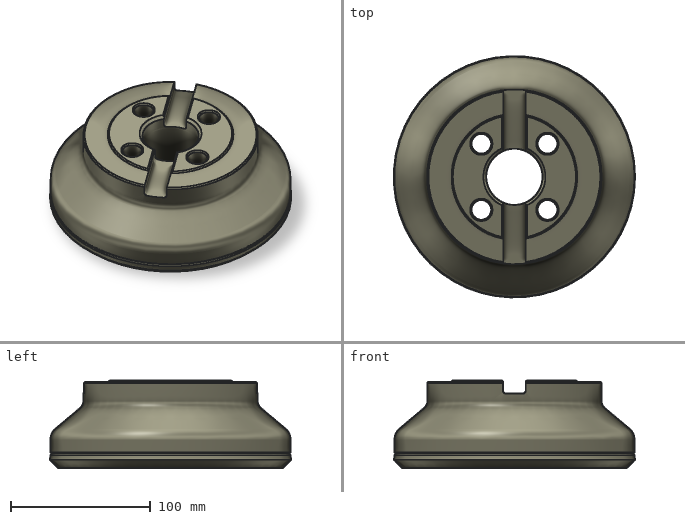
import cadquery as cq
import math

plate_radius = 86.4
plate_height = 10.9
plate_bevel_start = 0.5
plate_bevel_end = 6.2
plate_edge_break = 1.0
plate_land_end = 7.3
plate_land_radius = 86.2
plate_rim_end = 9.0
plate_rim_radius = 86.0
plate_flank_start = 9.5
plate_flank_radius = 85.9
groove_depth_radius = 84.7

hub_radius = 172.0 / 2
hub_flank_height = 0.5
cone_angle = 50.0
shoulder_fillet = 9.7
shoulder_start = 20.7
neck_radius = 125.0 / 2
neck_fillet = 6.2
neck_top = 62.0
neck_chamfer = 1.0

boss_radius = 90.0 / 2
boss_height = 1.0
boss_chamfer_width = 1.0
total_height = neck_top + boss_height

bore_radius = 40.1 / 2
bore_top_radius = 40.3 / 2
bore_step_top = 53.0
bore_step_height = 1.0
bore_chamfer = 2.0

bolt_radius = 14.0 / 2
bolt_chamfer = 1.0
bolt_circle_radius = 66.9 / 2
bolt_count = 4

slot_width = 16.0
slot_floor = 53.5
slot_fillet = 2.0


def on_bolt_circle(cutter):
    """Copies of one cutter on the bolt circle, starting half a pitch from the X axis."""
    pitch = 360.0 / bolt_count
    return cq.Workplane("XY").polarArray(
        bolt_circle_radius, pitch / 2, 360, bolt_count, rotate=False
    ).eachpoint(lambda place: cutter.moved(place))


def turn(profile):
    """Revolve a closed radius-height profile about Z."""
    return profile.close().revolve(360, (0, 0, 0), (0, 1, 0))


def through_holes():
    """Bolt hole cylinders, long enough to pass through both bodies."""
    return on_bolt_circle(cq.Solid.makeCylinder(bolt_radius, total_height))


def hole_mouths():
    """Cones that chamfer the bolt holes at the top of the boss."""
    mouth = cq.Solid.makeCone(
        bolt_radius, bolt_radius + bolt_chamfer, bolt_chamfer, cq.Vector(0, 0, total_height - bolt_chamfer)
    )
    return on_bolt_circle(mouth)


def bore_cutter():
    """Centre bore: chamfered mouth, then a small taper down to the lower diameter."""
    return turn(
        cq.Workplane("XZ")
        .moveTo(0, 0)
        .lineTo(bore_radius, 0)
        .lineTo(bore_radius, bore_step_top - bore_step_height)
        .lineTo(bore_top_radius, bore_step_top)
        .lineTo(bore_top_radius, total_height - bore_chamfer)
        .lineTo(bore_top_radius + bore_chamfer, total_height)
        .lineTo(0, total_height)
    )


def slot_cutter():
    """Slot along Y with rounded floor corners, flaring through the boss."""
    slot = (
        cq.Workplane("XY")
        .workplane(offset=slot_floor)
        .rect(slot_width, 2 * plate_radius)
        .extrude(total_height - slot_floor)
        .edges("|Y and <Z")
        .fillet(slot_fillet)
    )
    half_width = slot_width / 2
    flare = (
        cq.Workplane("XZ", origin=(0, plate_radius, 0))
        .moveTo(-half_width, neck_top)
        .lineTo(half_width, neck_top)
        .lineTo(half_width + boss_chamfer_width, total_height)
        .lineTo(-half_width - boss_chamfer_width, total_height)
        .close()
        .extrude(2 * plate_radius)
    )
    return slot.union(flare)


def hub_blank():
    """Solid of revolution: rim, shoulder, cone, neck and boss."""
    slope = math.radians(cone_angle)

    def fillet_offset(radius, angle):
        """Inward and upward travel along a fillet that starts vertical."""
        return radius * (1 - math.cos(angle)), radius * math.sin(angle)

    shoulder_in, shoulder_up = fillet_offset(shoulder_fillet, slope)
    shoulder_mid_in, shoulder_mid_up = fillet_offset(shoulder_fillet, slope / 2)
    neck_out, neck_down = fillet_offset(neck_fillet, slope)
    neck_mid_out, neck_mid_down = fillet_offset(neck_fillet, slope / 2)

    cone_bottom_radius = hub_radius - shoulder_in
    cone_bottom = shoulder_start + shoulder_up
    cone_top_radius = neck_radius + neck_out
    cone_top = cone_bottom + (cone_bottom_radius - cone_top_radius) / math.tan(slope)
    neck_bottom = cone_top + neck_down

    return turn(
        cq.Workplane("XZ")
        .moveTo(0, plate_height)
        .lineTo(groove_depth_radius, plate_height)
        .lineTo(hub_radius, plate_height + hub_flank_height)
        .lineTo(hub_radius, shoulder_start)
        .threePointArc(
            (hub_radius - shoulder_mid_in, shoulder_start + shoulder_mid_up), (cone_bottom_radius, cone_bottom)
        )
        .lineTo(cone_top_radius, cone_top)
        .threePointArc((neck_radius + neck_mid_out, neck_bottom - neck_mid_down), (neck_radius, neck_bottom))
        .lineTo(neck_radius, neck_top - neck_chamfer)
        .lineTo(neck_radius - neck_chamfer, neck_top)
        .lineTo(boss_radius, neck_top)
        .lineTo(boss_radius - boss_chamfer_width, total_height)
        .lineTo(0, total_height)
    )


def make_hub():
    return hub_blank().cut(bore_cutter()).cut(through_holes()).cut(hole_mouths()).cut(slot_cutter())


def make_base_plate():
    bevel_bottom_radius = plate_radius - (plate_bevel_end - plate_bevel_start)
    blank = turn(
        cq.Workplane("XZ")
        .moveTo(0, 0)
        .lineTo(bevel_bottom_radius - plate_edge_break, 0)
        .lineTo(bevel_bottom_radius, plate_bevel_start)
        .lineTo(plate_radius, plate_bevel_end)
        .lineTo(plate_land_radius, plate_land_end)
        .lineTo(plate_rim_radius, plate_rim_end)
        .lineTo(plate_flank_radius, plate_flank_start)
        .lineTo(groove_depth_radius, plate_height)
        .lineTo(0, plate_height)
    )
    return blank.cut(bore_cutter()).cut(through_holes())


hub = make_hub()
base_plate = make_base_plate()

result = cq.Compound.makeCompound([hub.val(), base_plate.val()])